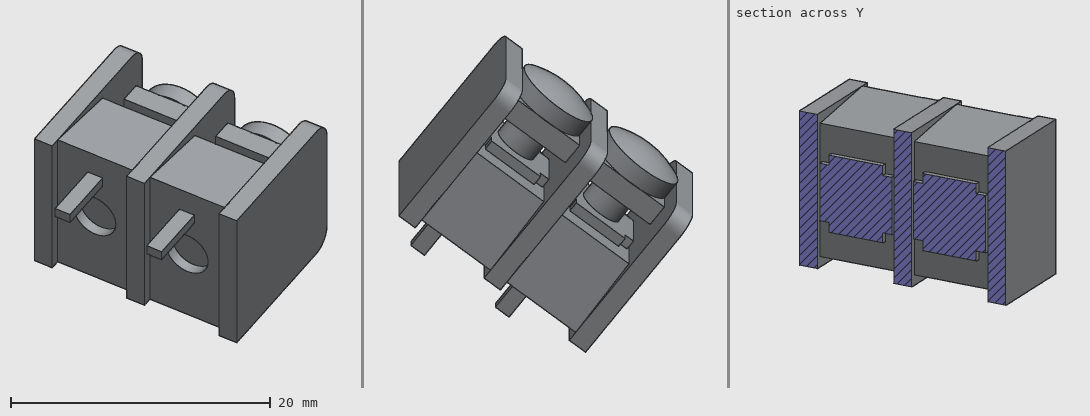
import cadquery as cq

total_length = 18.17
total_depth = 18.54
height = 12.7

wall_thickness = 1.6
wall_front = 4.06
wall_back = 17.52
wall_corner_radius = wall_thickness

terminal_count = 2
body_front = 4.88
body_back = 11.57
body_taper = 0.87

hole_diameter = 3.75
hole_depth = 0.93

pin_width = 1.33
pin_height = 0.83
pin_bottom = 3.45

plate_size = 6.38
contact_thickness = 0.82
contact_notch = 0.82
clamp_front = 14.46
clamp_back = 16.26
shaft_diameter = 3.45
head_diameter = 6.65
dome_height = 0.8
terminal_pitch = 8.23

wall_pitch = (total_length - wall_thickness) / terminal_count
half_height = height / 2
contact_back = body_back + contact_thickness
dome_base = total_depth - dome_height


def centered_positions(count, pitch):
    """X positions of a row of equally spaced features centred on the origin."""
    return [(i - (count - 1) / 2) * pitch for i in range(count)]


def section_at(y):
    """XZ workplane at depth y, extruding towards +Y."""
    return cq.Workplane("XZ", origin=(0, y, 0)).workplane(invert=True)


def square_plate(x, front, back):
    return section_at(front).center(x, 0).rect(plate_size, plate_size).extrude(back - front)


def cylinder(x, diameter, front, back):
    return section_at(front).center(x, 0).circle(diameter / 2).extrude(back - front)


def make_wall(x):
    """Barrier wall with its two back corners rounded."""
    wall_depth = wall_back - wall_front
    wall = cq.Workplane("XY").box(wall_thickness, wall_depth, height)
    wall = wall.edges("|X and >Y").fillet(wall_corner_radius)
    return wall.translate((x, (wall_front + wall_back) / 2, 0))


def make_body():
    """Insulating body, full height at the front and tapering towards the back."""
    back_half_height = half_height - body_taper
    body_length = total_length - wall_thickness
    return (
        cq.Workplane("YZ")
        .polyline([
            (body_front, -half_height),
            (body_back, -back_half_height),
            (body_back, back_half_height),
            (body_front, half_height),
        ])
        .close()
        .extrude(body_length / 2, both=True)
    )


def make_pin(x):
    pin = cq.Workplane("XY").box(pin_width, body_front, pin_height, centered=(True, False, False))
    return pin.translate((x, 0, pin_bottom))


def make_contact(x):
    """Plate with notched corners against the back of the body."""
    narrow_size = plate_size - 2 * contact_notch
    profile = section_at(body_back).center(x, 0)
    upright = profile.rect(narrow_size, plate_size).extrude(contact_thickness)
    crossbar = profile.rect(plate_size, narrow_size).extrude(contact_thickness)
    return upright.union(crossbar)


def make_screw(x):
    """Shaft and round head with a domed end."""
    shaft = cylinder(x, shaft_diameter, contact_back, clamp_front)
    head = cylinder(x, head_diameter, clamp_back, dome_base)
    sphere_radius = ((head_diameter / 2) ** 2 + dome_height ** 2) / (2 * dome_height)
    sphere = cq.Workplane("XY").sphere(sphere_radius).translate((x, total_depth - sphere_radius, 0))
    dome = cylinder(x, head_diameter, dome_base, total_depth).intersect(sphere)
    return shaft.union(head).union(dome)


result = make_body()
for wall_x in centered_positions(terminal_count + 1, wall_pitch):
    result = result.union(make_wall(wall_x))

for bay_x in centered_positions(terminal_count, wall_pitch):
    result = result.cut(cylinder(bay_x, hole_diameter, body_front, body_front + hole_depth))
    result = result.union(make_screw(bay_x))

for terminal_x in centered_positions(terminal_count, terminal_pitch):
    result = result.union(make_pin(terminal_x))
    result = result.union(make_contact(terminal_x))
    result = result.union(square_plate(terminal_x, clamp_front, clamp_back))